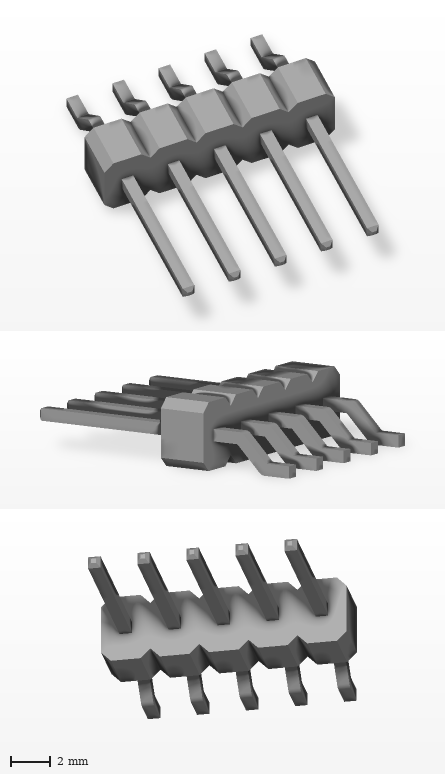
import cadquery as cq
import math

pin_count = 5
row_length = 12.7
pitch = row_length / pin_count

housing_start = 4.55
housing_depth = 2.57
housing_height = 3.55
housing_chamfer = 0.5

pin_length = 15.19
pin_thickness = 0.64
pin_axis_height = housing_height / 2
foot_length = 1.4
bend_angle = 45.0
bend_radius = 0.4
tip_chamfer = 0.2


def row_position(index):
    """Y of the centre line of one module, with the row centred on Y = 0."""
    return (index - (pin_count - 1) / 2) * pitch


def make_housing(y_centre):
    """Octagonal block with a square hole that the pin fills."""
    block = (
        cq.Workplane("XY")
        .box(housing_depth, pitch, housing_height, centered=(False, True, False))
        .edges("|X")
        .chamfer(housing_chamfer)
    )
    hole = (
        cq.Workplane("XY")
        .box(housing_depth, pin_thickness, pin_thickness, centered=(False, True, True))
        .translate((0, 0, pin_axis_height))
    )
    return block.cut(hole).translate((housing_start, y_centre, 0))


def make_pin_wire():
    """Bent part of the pin: flat foot, slope and straight shank up to the tip."""
    shank_bottom = pin_axis_height - pin_thickness / 2
    shank_top = pin_axis_height + pin_thickness / 2
    shank_end = pin_length - tip_chamfer

    miter_shift = pin_thickness * math.tan(math.radians(bend_angle / 2))
    slope_run = shank_bottom / math.tan(math.radians(bend_angle))
    lower_outer_x = foot_length + miter_shift
    upper_inner_x = lower_outer_x + slope_run
    upper_outer_x = upper_inner_x - miter_shift

    profile = [
        (0, 0),
        (lower_outer_x, 0),
        (upper_inner_x, shank_bottom),
        (shank_end, shank_bottom),
        (shank_end, shank_top),
        (upper_outer_x, shank_top),
        (foot_length, pin_thickness),
        (0, pin_thickness),
    ]
    wire = cq.Workplane("XZ").polyline(profile).close().extrude(pin_thickness / 2, both=True)

    for corner_x, corner_z in [(lower_outer_x, 0), (upper_outer_x, shank_top)]:
        outer_corner = cq.NearestToPointSelector((corner_x, 0, corner_z))
        wire = wire.edges("|Y").edges(outer_corner).fillet(bend_radius)
    return wire


def make_pin_tip():
    """Tapered end of the pin, a truncated square pyramid."""
    end_thickness = pin_thickness - 2 * tip_chamfer
    return (
        cq.Workplane("YZ", origin=(pin_length - tip_chamfer, 0, pin_axis_height))
        .rect(pin_thickness, pin_thickness)
        .workplane(offset=tip_chamfer)
        .rect(end_thickness, end_thickness)
        .loft()
    )


def make_pin(y_centre):
    """Complete pin in one piece."""
    return make_pin_wire().union(make_pin_tip()).translate((0, y_centre, 0))


housings = [make_housing(row_position(index)) for index in range(pin_count)]
pins = [make_pin(row_position(index)) for index in range(pin_count)]

result = cq.Compound.makeCompound([body.solids().val() for body in housings + pins])